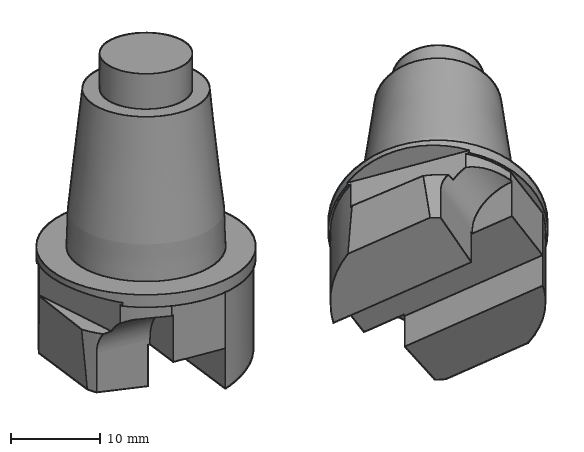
import cadquery as cq
import math

total_height = 38
shoulder_z = 33.6
neck_z = 18.45
flange_top_z = 13.9
flange_bottom_z = 12.35

pin_radius = 10.4 / 2
taper_top_radius = 7.15
taper_bottom_radius = 8.78
neck_bottom_radius = 8.93
flange_radius = 24.6 / 2
body_radius = 12.05

slot_half_width = 3.5
slot_top_z = 5.15
end_flat_x = math.sqrt(body_radius**2 - slot_half_width**2)

pocket_wall_x = 6.4
pocket_wall_y = 3.25
pocket_top_z = 11.0
pocket_radius = end_flat_x - pocket_wall_x

notch_angle = 10.9
notch_distance = 9.9
notch_bottom_z = 8.5
notch_top_z = 12.75
notch_floor_slope = 0.12
notch_roof_slope = 0.16

face_top_y = 11.15
face_bottom_y = 10.75

leg_slope = 0.137
rear_leg_lift = 0.1

reach = 15.2


def extrude_along_x(points):
    """Prism with a YZ outline, running through the whole part in X."""
    return cq.Workplane("YZ").polyline(points).close().extrude(reach, both=True)


def turned_blank():
    profile = [
        (0, 0),
        (body_radius, 0),
        (body_radius, flange_bottom_z),
        (flange_radius, flange_bottom_z),
        (flange_radius, flange_top_z),
        (neck_bottom_radius, flange_top_z),
        (taper_bottom_radius, neck_z),
        (taper_top_radius, shoulder_z),
        (pin_radius, shoulder_z),
        (pin_radius, total_height),
        (0, total_height),
    ]
    return cq.Workplane("XZ").polyline(profile).close().revolve(360, (0, 0), (0, 1))


def cross_slot():
    return cq.Workplane().box(2 * reach, 2 * slot_half_width, slot_top_z, centered=(True, True, False))


def end_flat():
    return (
        cq.Workplane()
        .box(reach, 2 * slot_half_width, flange_bottom_z, centered=(False, True, False))
        .translate((end_flat_x, 0, 0))
    )


def corner_pocket():
    """Pocket on the +X side of the front leg."""
    arc_center_z = pocket_top_z - pocket_radius
    arc_offset = pocket_radius * math.sqrt(0.5)
    return (
        cq.Workplane("XZ", origin=(0, -pocket_wall_y, 0))
        .moveTo(pocket_wall_x, 0)
        .lineTo(pocket_wall_x, arc_center_z)
        .threePointArc(
            (end_flat_x - arc_offset, arc_center_z + arc_offset),
            (end_flat_x, pocket_top_z),
        )
        .lineTo(reach, pocket_top_z)
        .lineTo(reach, 0)
        .close()
        .extrude(reach)
    )


def flange_notch():
    """Notch with a floor falling outward and a roof rising outward."""
    run = reach - notch_distance
    outline = [
        (-notch_distance, notch_bottom_z),
        (-reach, notch_bottom_z - notch_floor_slope * run),
        (-reach, notch_top_z + notch_roof_slope * run),
        (-notch_distance, notch_top_z),
    ]
    return extrude_along_x(outline).rotate((0, 0, 0), (0, 0, 1), notch_angle)


def tapered_face():
    outline = [
        (-face_bottom_y, 0),
        (-face_top_y, notch_bottom_z),
        (-reach, notch_bottom_z),
        (-reach, 0),
    ]
    return extrude_along_x(outline)


def leg_bottom(lift):
    """Wedge below the front leg, rising outward from the slot."""
    outer_z = lift + leg_slope * (reach - slot_half_width)
    outline = [
        (-slot_half_width, -reach),
        (-slot_half_width, lift),
        (-reach, outer_z),
        (-reach, -reach),
    ]
    return extrude_along_x(outline)


def half_turn(shape):
    return shape.rotate((0, 0, 0), (0, 0, 1), 180)


result = turned_blank().cut(cross_slot())
for make_cutter in (end_flat, corner_pocket, flange_notch, tapered_face):
    cutter = make_cutter()
    result = result.cut(cutter).cut(half_turn(cutter))
result = result.cut(leg_bottom(0)).cut(half_turn(leg_bottom(rear_leg_lift)))